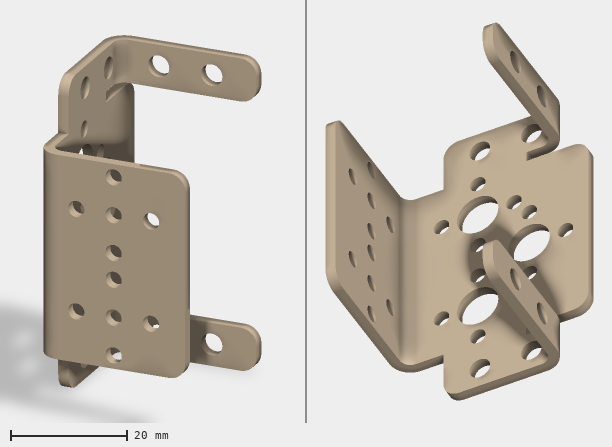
import cadquery as cq

height = 58.0
depth_x = 28.0
web_width = 37.45
channel_width = 32.5
thickness = 2.0
bend_radius = 4.0
corner_radius = 3.0
body_height = 38.0
arm_height = 8.0
overlap = 0.6

tab_front_y = 9.4
slot_floor_y = 25.35
slot_corner_radius = 0.35

screw_diameter = 3.0
screw_circle_radius = 7.0
horn_diameter = 8.0
tab_hole_diameter = 4.0
tab_hole_pitch = 10.0
horn_front_y = 16.0
horn_rear_y = 26.0
horn_offset_z = 10.5
flange_pattern_x = 14.55
flange_pattern_z = 9.5
arm_first_hole_x = 9.55
tab_first_hole_y = 16.4

half_height = height / 2
half_body = body_height / 2
arm_inner_z = half_height - arm_height
tab_hole_z = half_height - arm_height / 2


def block(x_range, y_range, z_range):
    """Box spanning the given (low, high) range on each axis."""
    ranges = (x_range, y_range, z_range)
    sizes = [high - low for low, high in ranges]
    return cq.Workplane("XY").box(*sizes, centered=False).translate([low for low, high in ranges])


def make_channel():
    """Full-height U channel: web at X = 0 and two legs along +X."""
    inner_radius = bend_radius - thickness
    outer = block((0, depth_x), (0, channel_width), (-half_height, half_height))
    outer = outer.edges("|Z and <X").fillet(bend_radius)
    inner = block(
        (thickness, depth_x + overlap),
        (thickness, channel_width - thickness),
        (-half_height - overlap, half_height + overlap),
    )
    inner = inner.edges("|Z and <X").fillet(inner_radius)
    return outer.cut(inner)


def make_front_flange(channel):
    """Front leg with its bend and the web up to the slot floor."""
    keep = block((0, depth_x), (0, slot_floor_y), (-half_body, half_body))
    keep = keep.edges("|Y and >X").fillet(corner_radius)
    return channel.intersect(keep)


def make_tab_strip():
    """Full-height strip of the web whose ends are the upper and lower tabs."""
    strip = block((0, thickness), (tab_front_y, slot_floor_y), (-half_height, half_height))
    return strip.edges("|X and <Y").fillet(corner_radius)


def make_arm(channel, side):
    """Upper (side = 1) or lower (side = -1) rear arm with its bend."""
    z_range = sorted((side * arm_inner_z, side * half_height))
    keep = block((0, depth_x), (slot_floor_y, channel_width), z_range)
    keep = keep.edges("|Y and >X").fillet(corner_radius)
    return channel.intersect(keep)


def make_rear_web():
    """Flat part of the web that runs past the rear arms."""
    plate = block((0, thickness), (tab_front_y, web_width), (-half_body, half_body))
    return plate.edges("|X and >Y").fillet(corner_radius)


def drill_web(points, diameter):
    """Cutters along X through the web at (y, z) points."""
    plane = cq.Workplane("YZ").workplane(offset=-overlap)
    return plane.pushPoints(points).circle(diameter / 2).extrude(thickness + 2 * overlap)


def drill_leg(points, diameter, outer_y):
    """Cutters along Y, at (x, z) points, through the leg whose +Y face is at outer_y."""
    plane = cq.Workplane("XZ", origin=(0, outer_y + overlap, 0))
    return plane.pushPoints(points).circle(diameter / 2).extrude(thickness + 2 * overlap)


def cross_points(center_u, center_v):
    """Four points around a center, on the two axes."""
    r = screw_circle_radius
    return [
        (center_u - r, center_v),
        (center_u + r, center_v),
        (center_u, center_v - r),
        (center_u, center_v + r),
    ]


channel = make_channel()
bracket = make_front_flange(channel).union(make_tab_strip()).union(make_rear_web())
for side in (1, -1):
    bracket = bracket.union(make_arm(channel, side))
bracket = bracket.clean()

for side in (1, -1):
    corner = (thickness / 2, slot_floor_y, side * arm_inner_z)
    bracket = bracket.edges(cq.NearestToPointSelector(corner)).fillet(slot_corner_radius)

horn_centers = [
    (horn_rear_y, 0),
    (horn_front_y, horn_offset_z),
    (horn_front_y, -horn_offset_z),
]
bracket = bracket.cut(drill_web(horn_centers, horn_diameter))
for center in horn_centers:
    bracket = bracket.cut(drill_web(cross_points(*center), screw_diameter))

for side in (1, -1):
    center = (flange_pattern_x, side * flange_pattern_z)
    points = [center] + cross_points(*center)
    bracket = bracket.cut(drill_leg(points, screw_diameter, thickness))

for side in (1, -1):
    z = side * tab_hole_z
    tab_points = [(tab_first_hole_y + i * tab_hole_pitch, z) for i in range(2)]
    arm_points = [(arm_first_hole_x + i * tab_hole_pitch, z) for i in range(2)]
    bracket = bracket.cut(drill_web(tab_points, tab_hole_diameter))
    bracket = bracket.cut(drill_leg(arm_points, tab_hole_diameter, channel_width))

result = bracket